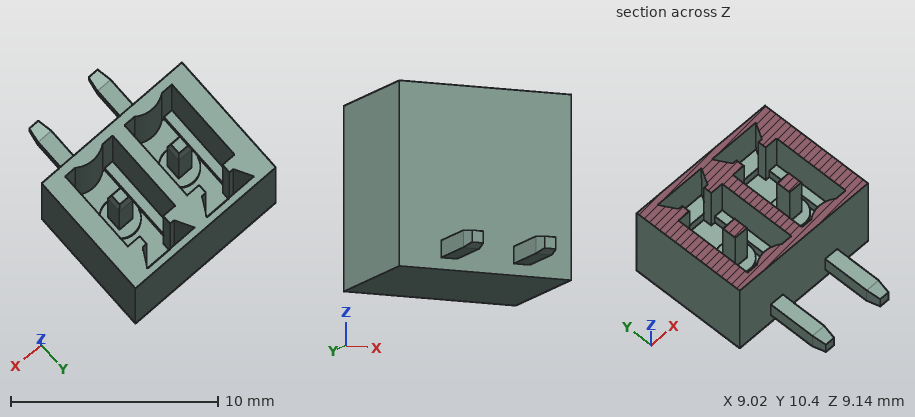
import cadquery as cq

width = 9.02
depth = 6.87
height = 9.14

total_depth = 10.41
pitch = 3.81
pin_width = 0.84
tip_width = 0.58
taper_length = 0.79
tail_z = 1.0
contact_y = 2.79
contact_top = height - 1.33
tail_length = total_depth - depth

socket_width = 3.04
socket_front = 0.5
socket_back = 5.08
rib_width = 1.75
rib_height = 0.29
channel_width = 2.02
neck_width = 1.51
neck_back = 5.58
key_back = 6.51
key_draft = 0.06

channel_floor = 2.0
ledge_floor = 2.5
boss_top = 2.25

pole_positions = [-pitch / 2, pitch / 2]


def pocket(x, pocket_width, back, floor):
    """Rectangular opening from the socket front to the given back, open at the top."""
    return cq.Workplane("XY", origin=(x, socket_front, floor)).box(
        pocket_width, back - socket_front, height - floor, centered=(True, False, False)
    )


def channel_and_neck(x):
    """Deep central channel that opens through the neck into the key slot."""
    return pocket(x, channel_width, socket_back, channel_floor).union(
        pocket(x, neck_width, neck_back, channel_floor)
    )


def upper_socket(x):
    """Full-width socket above the two side ledges."""
    return pocket(x, socket_width, socket_back, ledge_floor)


def front_rib(x):
    """Rounded rib standing against the front wall of the socket."""
    return (
        cq.Workplane("XY", origin=(x, socket_front, 0))
        .moveTo(-rib_width / 2, 0)
        .threePointArc((0, rib_height), (rib_width / 2, 0))
        .close()
        .extrude(height)
    )


def key_slot(x):
    """Dovetail slot whose back wall leans slightly inward towards its floor."""

    def dovetail(sketch, back):
        return sketch.polyline([
            (-channel_width / 2, neck_back),
            (channel_width / 2, neck_back),
            (socket_width / 2, back),
            (-socket_width / 2, back),
        ]).close()

    floor = dovetail(cq.Workplane("XY", origin=(x, 0, ledge_floor)), key_back - key_draft)
    top = floor.workplane(offset=height - ledge_floor)
    return dovetail(top, key_back).loft(ruled=True)


def tapered_pin(plane, length):
    """Square pin along the plane normal, ending in a tapered tip."""
    shank_length = length - taper_length
    shank = cq.Workplane(plane).rect(pin_width, pin_width).extrude(shank_length)
    tip = (
        cq.Workplane(plane)
        .workplane(offset=shank_length)
        .rect(pin_width, pin_width)
        .workplane(offset=taper_length)
        .rect(tip_width, tip_width)
        .loft(ruled=True)
    )
    return shank.union(tip)


def contact(x):
    """Upright pin on a round boss, and the tail leaving the front face."""
    upright = tapered_pin(cq.Plane((x, contact_y, tail_z), (1, 0, 0), (0, 0, 1)), contact_top - tail_z)
    tail = tapered_pin(
        cq.Plane((x, contact_y, tail_z), (1, 0, 0), (0, -1, 0)), contact_y + tail_length
    )
    boss = (
        cq.Workplane("XY", origin=(x, contact_y, tail_z))
        .circle(channel_width / 2)
        .extrude(boss_top - tail_z)
    )
    return upright.union(tail).union(boss)


result = cq.Workplane("XY").box(width, depth, height, centered=(True, False, False))
for pole_x in pole_positions:
    socket = channel_and_neck(pole_x).union(upper_socket(pole_x)).cut(front_rib(pole_x))
    result = result.cut(socket).cut(key_slot(pole_x)).union(contact(pole_x))